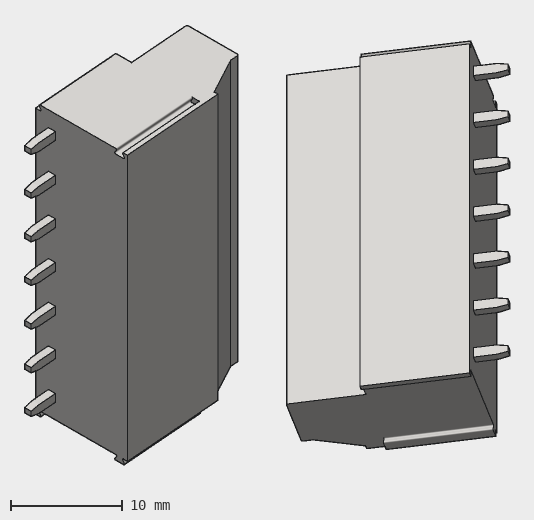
import cadquery as cq
import math

width = 11.2
overall_depth = 20.55
overall_height = 35.65
pin_length = 3.17
rail_height = 0.65
base_depth = 10.05

body_depth = overall_depth - pin_length
body_height = overall_height - rail_height

tower_left = 2.42
tower_right = 8.75
slope_foot_x = 10.73
slope_foot_y = 11.95
slope_head_drop = 1.07
corner_radius = 0.2

edge_rail_center = 0.07
dovetail_center = 10.23
dovetail_root_half = 0.3
dovetail_tip_half = 0.68
dovetail_radius = 0.1

pin_count = 7
pin_pitch = 5.0
pin_width = 0.85
pin_thickness = 1.0
pin_center_x = 2.0
pin_tip_length = 1.0
pin_tip_width = 0.8
pin_tip_thickness = 0.6
first_pin_z = body_height / 2 - pin_pitch * (pin_count - 1) / 2


def make_housing():
    """Extrude the stepped outline along Z and round the two rear corners of the tower."""
    outline = [
        (0, 0),
        (width, 0),
        (width, slope_foot_y),
        (slope_foot_x, slope_foot_y),
        (tower_right, body_depth - slope_head_drop),
        (tower_right, body_depth),
        (tower_left, body_depth),
        (tower_left, base_depth),
        (0, base_depth),
    ]
    housing = cq.Workplane("XY").polyline(outline).close().extrude(body_height)
    return housing.faces(">Y").edges("|Z").fillet(corner_radius)


def flank_points():
    """Points (half width, height) down one dovetail flank, rounded at its root and tip.

    The order is: root arc start, middle and end, then tip arc start, middle and end.
    """
    spread = dovetail_tip_half - dovetail_root_half
    flank_angle = math.atan2(rail_height, spread)
    setback = dovetail_radius / math.tan(flank_angle / 2)
    center_to_corner = math.hypot(setback, dovetail_radius)
    corner_gap = 1 - dovetail_radius / center_to_corner
    root_arc = [
        (dovetail_root_half + setback, 0),
        (dovetail_root_half + setback * corner_gap, -dovetail_radius * corner_gap),
        (dovetail_root_half + setback * math.cos(flank_angle), -setback * math.sin(flank_angle)),
    ]
    tip_arc = [
        (dovetail_root_half + dovetail_tip_half - x, -rail_height - z)
        for x, z in reversed(root_arc)
    ]
    return root_arc + tip_arc


def make_dovetail(center_x, root_z):
    """Dovetail bar widening downward from root_z, as long as the base is deep."""
    right = [(center_x + x, root_z + z) for x, z in flank_points()]
    left = [(center_x - x, root_z + z) for x, z in flank_points()]
    return (
        cq.Workplane("XZ")
        .moveTo(*right[0])
        .threePointArc(right[1], right[2])
        .lineTo(*right[3])
        .threePointArc(right[4], right[5])
        .lineTo(*left[5])
        .threePointArc(left[4], left[3])
        .lineTo(*left[2])
        .threePointArc(left[1], left[0])
        .close()
        .extrude(-base_depth)
    )


def make_rails(root_z):
    """Dovetail bar and edge bar below root_z; the edge bar is cut flush with the housing side."""
    edge_bar = make_dovetail(edge_rail_center, root_z)
    inside_width = (
        cq.Workplane("XY")
        .workplane(offset=root_z - rail_height)
        .rect(width, base_depth, centered=False)
        .extrude(rail_height)
    )
    return edge_bar.intersect(inside_width), make_dovetail(dovetail_center, root_z)


def make_pin(center_z):
    """Rectangular pin pointing toward -Y with a tapered tip."""
    shank_length = pin_length - pin_tip_length
    shank = (
        cq.Workplane("XZ", origin=(pin_center_x, 0, center_z))
        .rect(pin_width, pin_thickness)
        .extrude(shank_length)
    )
    tip = (
        cq.Workplane("XZ", origin=(pin_center_x, -shank_length, center_z))
        .rect(pin_width, pin_thickness)
        .workplane(offset=pin_tip_length)
        .rect(pin_tip_width, pin_tip_thickness)
        .loft(ruled=True)
    )
    return shank.union(tip)


result = make_housing()

for groove in make_rails(body_height):
    result = result.cut(groove)

for rail in make_rails(0):
    result = result.union(rail)

for index in range(pin_count):
    result = result.union(make_pin(first_pin_z + index * pin_pitch))